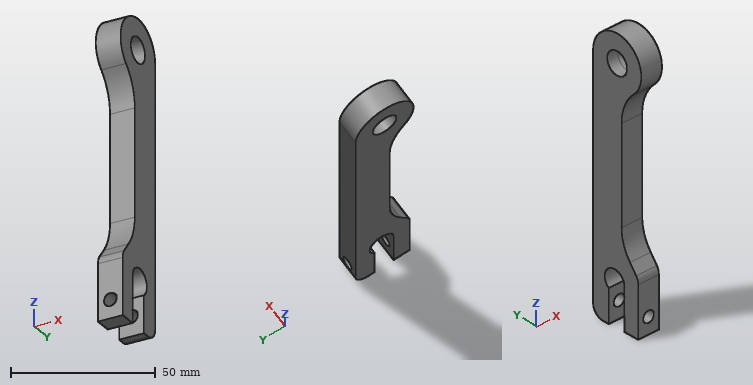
import cadquery as cq
import math

thickness = 9.9
length = 120.5
head_diameter = 24.5
bore_diameter = 10.0
arm_width = 14.5
prong_end_width = 22.9
blend_radius = 20.0
blend_start_z = 42.4
flare_angle = math.radians(38.0)
shoulder_radius = 5.0
heel_radius = 5.0
slot_eye_diameter = 10.0
slot_eye_z = 18.8
slot_width = 8.0
slot_front_y = -3.7
front_prong_z = 0.4
pin_diameter = 5.0
pin_z = 7.7

head_radius = head_diameter / 2
head_z = length - head_radius
back_y = head_radius
arm_y = back_y - arm_width
front_y = back_y - prong_end_width
slot_back_y = slot_front_y + slot_width
slot_eye_y = slot_front_y + slot_eye_diameter / 2


def polar(center, radius, angle):
    """Point on a circle in the YZ plane."""
    return (center[0] + radius * math.cos(angle), center[1] + radius * math.sin(angle))


def make_body():
    head_center = (0, head_z)

    upper_y = arm_y - blend_radius
    upper_drop = math.sqrt((head_radius + blend_radius) ** 2 - upper_y ** 2)
    upper_center = (upper_y, head_z - upper_drop)
    upper_angle = math.atan2(upper_drop, -upper_y)

    lower_center = (arm_y - blend_radius, blend_start_z)
    flare_top = polar(lower_center, blend_radius, -flare_angle)
    shoulder_y = front_y + shoulder_radius
    flare_bottom_y = shoulder_y - shoulder_radius * math.cos(flare_angle)
    flare_drop = (flare_top[0] - flare_bottom_y) / math.tan(flare_angle)
    flare_bottom = (flare_bottom_y, flare_top[1] - flare_drop)
    shoulder_z = flare_bottom[1] - shoulder_radius * math.sin(flare_angle)
    shoulder_center = (shoulder_y, shoulder_z)

    heel_center = (back_y - heel_radius, heel_radius)

    return (
        cq.Workplane("YZ")
        .moveTo(back_y, heel_radius)
        .lineTo(back_y, head_z)
        .threePointArc(polar(head_center, head_radius, math.pi / 4), (0, length))
        .threePointArc(
            (-head_radius, head_z),
            polar(head_center, head_radius, math.pi + upper_angle),
        )
        .threePointArc(
            polar(upper_center, blend_radius, upper_angle / 2),
            (arm_y, upper_center[1]),
        )
        .lineTo(arm_y, blend_start_z)
        .threePointArc(polar(lower_center, blend_radius, -flare_angle / 2), flare_top)
        .lineTo(*flare_bottom)
        .threePointArc(
            polar(shoulder_center, shoulder_radius, math.pi - flare_angle / 2),
            (front_y, shoulder_z),
        )
        .lineTo(front_y, front_prong_z)
        .lineTo(slot_front_y, front_prong_z)
        .lineTo(slot_front_y, slot_eye_z)
        .lineTo(slot_back_y, slot_eye_z)
        .lineTo(slot_back_y, 0)
        .lineTo(back_y - heel_radius, 0)
        .threePointArc(polar(heel_center, heel_radius, -math.pi / 4), (back_y, heel_radius))
        .close()
        .extrude(thickness / 2, both=True)
    )


def cross_hole(y, z, diameter):
    """Cutter for a round hole through the thickness."""
    return (
        cq.Workplane("YZ")
        .center(y, z)
        .circle(diameter / 2)
        .extrude(thickness, both=True)
    )


def pin_hole():
    """Cutter for the pin hole passing through both prongs."""
    return (
        cq.Workplane("XZ")
        .center(0, pin_z)
        .circle(pin_diameter / 2)
        .extrude(head_diameter, both=True)
    )


result = (
    make_body()
    .cut(cross_hole(0, head_z, bore_diameter))
    .cut(cross_hole(slot_eye_y, slot_eye_z, slot_eye_diameter))
    .cut(pin_hole())
)